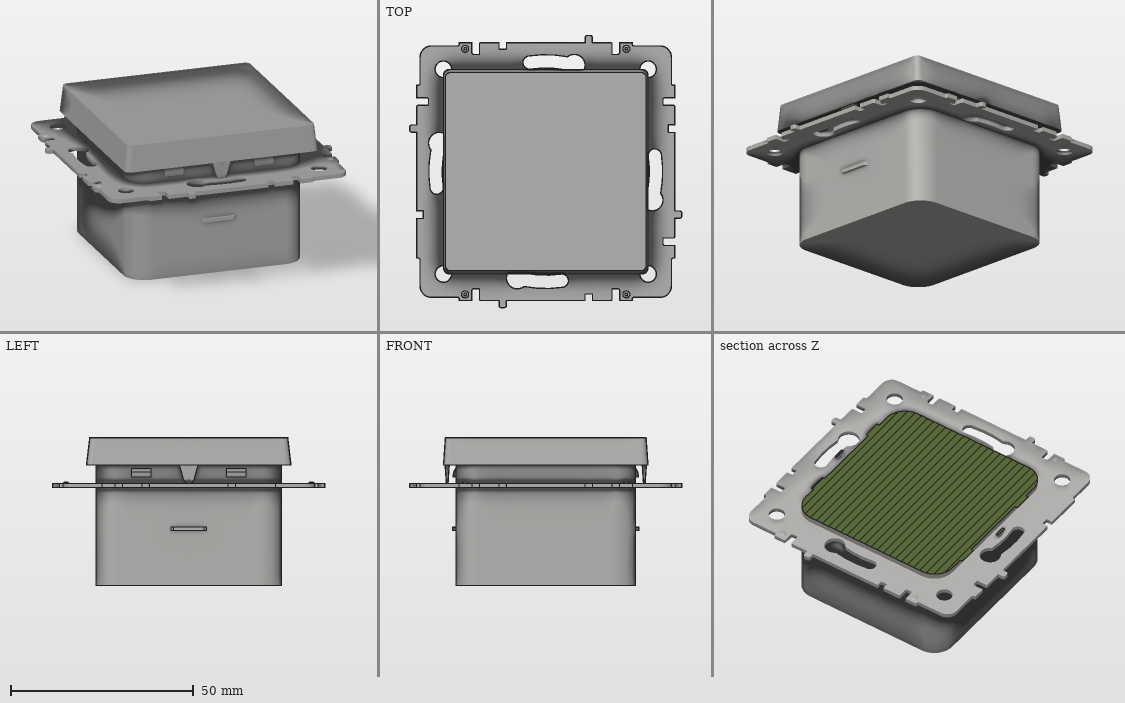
import cadquery as cq
import math


plate_bottom = 26.8
plate_thickness = 1.2
plate_top = plate_bottom + plate_thickness
cover_bottom = 32.95
overall_height = 40.5

box_x = 49.1
box_y = 50.75
box_corner_radius = 6.0

overall_width = 74.4
plate_width = 68.75
plate_corner_radius = 3.1
band_width = 70.5
band_length = 47.3
band_root_radius = 0.45
corner_hole_diameter = 4.5
corner_hole_offset = 28.0

tab_width = 2.0
tab_offset = 11.75
tab_corner_radius = 0.6
notch_depth = 1.8

slot_inner = 18.15
slot_width = 2.0
slot_depth = 3.2
slot_radius = 0.45

keyhole_path_radius = 30.1
keyhole_slot_width = 3.6
keyhole_head_diameter = 5.8
keyhole_head_angle = 15.0
keyhole_tail_angle = -8.4

rivet_base_diameter = 1.9
rivet_top_diameter = 0.75
rivet_height = 0.3
rivet_x = 22.0
rivet_y = 33.55

cover_base_size = 55.95
cover_base_radius = 1.7
cover_top_x = 54.9
cover_top_y = 54.2
cover_top_radius = 1.4

tongue_center_x = 26.9
tongue_root_thickness = 1.2
tongue_tip_thickness = 0.5
tongue_root_width = 5.05
tongue_shoulder_width = 2.8
tongue_tip_width = 1.5
tongue_shoulder_height = 1.0

hook_length = 5.35
hook_offset = 13.0
hook_protrusion = 0.75
hook_bottom = 29.7
hook_height = 2.4
hook_nose_height = 0.7
hook_shoulder_height = 1.4
hook_shoulder_protrusion = 0.6

rib_center_z = 15.55
rib_thickness = 1.0
rib_root_length = 9.7
rib_tip_length = 8.3
rib_protrusion = 0.9

overlap = 0.75


def on_four_sides(shape):
    """The shape at the +Y side of the plate together with its quarter-turn copies."""
    copies = shape
    for angle in (90, 180, 270):
        copies = copies.union(shape.rotate((0, 0, 0), (0, 0, 1), angle))
    return copies


def with_opposite(shape):
    """The shape on the +X side together with its copy on the -X side."""
    return shape.union(shape.mirror("YZ"))


def plate_box(x_center, x_size, y_start, y_end):
    """Block of plate thickness between two Y positions."""
    return (
        cq.Workplane("XY", origin=(x_center, (y_start + y_end) / 2, plate_bottom))
        .box(x_size, y_end - y_start, plate_thickness, centered=(True, True, False))
    )


def side_band():
    """Raised middle of one plate side, with rounded inner corners at both ends."""
    half_length = band_length / 2
    shoulder = plate_width / 2
    r = band_root_radius
    return (
        cq.Workplane("XY", origin=(0, 0, plate_bottom))
        .moveTo(-half_length, band_width / 2)
        .lineTo(half_length, band_width / 2)
        .lineTo(half_length, shoulder + r)
        .radiusArc((half_length + r, shoulder), -r)
        .lineTo(half_length + r, shoulder - overlap)
        .lineTo(-half_length - r, shoulder - overlap)
        .lineTo(-half_length - r, shoulder)
        .radiusArc((-half_length, shoulder + r), -r)
        .close()
        .extrude(plate_thickness)
    )


def side_tab():
    tab = plate_box(tab_offset, tab_width, band_width / 2 - overlap, overall_width / 2)
    return tab.edges("|Z and >Y").fillet(tab_corner_radius)


def relief_slot():
    """Slot at the right end of the +Y side, with one round bottom corner and one round mouth corner."""
    slot_outer = slot_inner + slot_width
    mouth = band_width / 2
    bottom = mouth - slot_depth
    r = slot_radius
    return (
        cq.Workplane("XY", origin=(0, 0, plate_bottom))
        .moveTo(slot_inner - r, mouth)
        .radiusArc((slot_inner, mouth - r), r)
        .lineTo(slot_inner, bottom)
        .lineTo(slot_outer - r, bottom)
        .radiusArc((slot_outer, bottom + r), -r)
        .lineTo(slot_outer, mouth)
        .close()
        .extrude(plate_thickness)
    )


def polar(radius, angle):
    """Point at an angle measured clockwise from +Y."""
    return radius * math.sin(math.radians(angle)), radius * math.cos(math.radians(angle))


def keyhole_end(angle, diameter):
    """Round end of a keyhole, centred on the middle line of its slot."""
    x, y = polar(keyhole_path_radius, angle)
    return cq.Workplane("XY", origin=(x, y, plate_bottom)).circle(diameter / 2).extrude(plate_thickness)


def keyhole():
    """Arc slot around the plate centre with a larger round head at one end."""
    outer = keyhole_path_radius + keyhole_slot_width / 2
    inner = keyhole_path_radius - keyhole_slot_width / 2
    middle_angle = (keyhole_head_angle + keyhole_tail_angle) / 2
    slot = (
        cq.Workplane("XY", origin=(0, 0, plate_bottom))
        .moveTo(*polar(outer, keyhole_tail_angle))
        .threePointArc(polar(outer, middle_angle), polar(outer, keyhole_head_angle))
        .lineTo(*polar(inner, keyhole_head_angle))
        .threePointArc(polar(inner, middle_angle), polar(inner, keyhole_tail_angle))
        .close()
        .extrude(plate_thickness)
    )
    tail = keyhole_end(keyhole_tail_angle, keyhole_slot_width)
    head = keyhole_end(keyhole_head_angle, keyhole_head_diameter)
    return slot.union(tail).union(head)


def mounting_plate():
    plate = (
        cq.Workplane("XY", origin=(0, 0, plate_bottom))
        .rect(plate_width, plate_width)
        .extrude(plate_thickness)
        .edges("|Z")
        .fillet(plate_corner_radius)
    )
    plate = plate.union(on_four_sides(side_band().union(side_tab())))

    notch = plate_box(-tab_offset, tab_width, band_width / 2 - notch_depth, band_width / 2)
    plate = plate.cut(on_four_sides(notch.union(keyhole())))

    right_slots = on_four_sides(relief_slot())
    left_slot = relief_slot().mirror("YZ")
    plate = plate.cut(right_slots)
    for angle in (0, 180, 270):
        plate = plate.cut(left_slot.rotate((0, 0, 0), (0, 0, 1), angle))

    corner_holes = (
        cq.Workplane("XY", origin=(0, 0, plate_bottom))
        .rect(2 * corner_hole_offset, 2 * corner_hole_offset, forConstruction=True)
        .vertices()
        .circle(corner_hole_diameter / 2)
        .extrude(plate_thickness)
    )
    return plate.cut(corner_holes)


def rivet_heads():
    """Four tapered rivet heads on top of the plate."""
    head = (
        cq.Workplane("XY")
        .circle(rivet_base_diameter / 2)
        .workplane(offset=rivet_height)
        .circle(rivet_top_diameter / 2)
        .loft()
        .val()
    )
    return (
        cq.Workplane("XY", origin=(0, 0, plate_top))
        .rect(2 * rivet_x, 2 * rivet_y, forConstruction=True)
        .vertices()
        .eachpoint(head)
    )


def terminal_box():
    return (
        cq.Workplane("XY")
        .rect(box_x, box_y)
        .extrude(cover_bottom + overlap)
        .edges("|Z")
        .fillet(box_corner_radius)
    )


def rocker_cover():
    base = cq.Sketch().rect(cover_base_size, cover_base_size).vertices().fillet(cover_base_radius)
    top = cq.Sketch().rect(cover_top_x, cover_top_y).vertices().fillet(cover_top_radius)
    cover_height = overall_height - cover_bottom
    return (
        cq.Workplane("XY", origin=(0, 0, cover_bottom))
        .placeSketch(base, top.moved(cq.Location(cq.Vector(0, 0, cover_height))))
        .loft()
    )


def guide_tongue():
    """Tongue reaching from the cover to the plate, tapered in width and in thickness."""
    shoulder_z = plate_top + tongue_shoulder_height
    thickness_profile = (
        cq.Workplane("XZ")
        .polyline([
            (tongue_center_x - tongue_root_thickness / 2, cover_bottom),
            (tongue_center_x + tongue_root_thickness / 2, cover_bottom),
            (tongue_center_x + tongue_tip_thickness / 2, plate_top),
            (tongue_center_x - tongue_tip_thickness / 2, plate_top),
        ])
        .close()
        .extrude(tongue_root_width, both=True)
    )
    width_profile = (
        cq.Workplane("YZ")
        .polyline([
            (-tongue_root_width / 2, cover_bottom),
            (tongue_root_width / 2, cover_bottom),
            (tongue_shoulder_width / 2, shoulder_z),
            (tongue_tip_width / 2, plate_top),
            (-tongue_tip_width / 2, plate_top),
            (-tongue_shoulder_width / 2, shoulder_z),
        ])
        .close()
        .extrude(overall_width / 2)
    )
    return thickness_profile.intersect(width_profile)


def snap_hook(y_center):
    """Hook with a flat underside, an upright nose and a two-stage lead-in slope above it."""
    wall = box_x / 2
    return (
        cq.Workplane("XZ", origin=(0, y_center, 0))
        .polyline([
            (wall - overlap, hook_bottom),
            (wall + hook_protrusion, hook_bottom),
            (wall + hook_protrusion, hook_bottom + hook_nose_height),
            (wall + hook_shoulder_protrusion, hook_bottom + hook_shoulder_height),
            (wall, hook_bottom + hook_height),
            (wall - overlap, hook_bottom + hook_height),
        ])
        .close()
        .extrude(hook_length / 2, both=True)
    )


def stop_rib():
    """Thin rib with slanted ends."""
    wall = box_x / 2
    return (
        cq.Workplane("XY", origin=(0, 0, rib_center_z - rib_thickness / 2))
        .polyline([
            (wall - overlap, -rib_root_length / 2),
            (wall, -rib_root_length / 2),
            (wall + rib_protrusion, -rib_tip_length / 2),
            (wall + rib_protrusion, rib_tip_length / 2),
            (wall, rib_root_length / 2),
            (wall - overlap, rib_root_length / 2),
        ])
        .close()
        .extrude(rib_thickness)
    )


side_features = guide_tongue().union(stop_rib())
for hook_y in (-hook_offset, hook_offset):
    side_features = side_features.union(snap_hook(hook_y))

result = (
    mounting_plate()
    .union(rivet_heads())
    .union(terminal_box())
    .union(rocker_cover())
    .union(with_opposite(side_features))
)